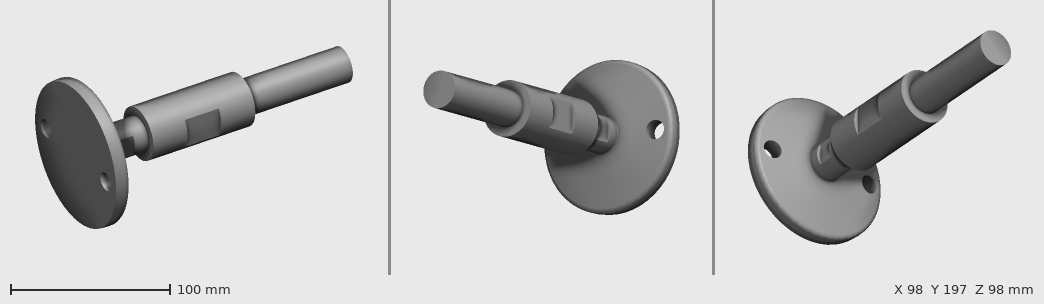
import cadquery as cq
import math

total_length = 197.0

plate_radius = 98.0 / 2
underside_radius = 48.5
taper_height = 4.1
cone_start_height = 9.7
shoulder_fillet = 3.0
cone_height = 15.5
neck_radius = 11.6
neck_fillet = 1.2
plate_height = 16.7

hole_diameter = 12.5
hole_offset = 35.7
drill_length = 4 * plate_height

bar_diameter = 24.0
bar_flat_width = 19.1
bar_flat_start = 23.8
bar_flat_length = 12.5

sleeve_diameter = 36.0
sleeve_start = 46.3
sleeve_length = 75.0
sleeve_flat_width = 30.0
sleeve_flat_length = 25.0
sleeve_flat_start = sleeve_start + (sleeve_length - sleeve_flat_length) / 2


def rod(diameter, start, length):
    """Round bar along +Y, beginning at Y = start."""
    return cq.Workplane("XZ", origin=(0, start, 0)).circle(diameter / 2).extrude(-length)


def cut_flats(body, diameter, width, start, length):
    """Cut a pair of wrench flats, facing -X and +X, leaving the given width."""
    core = cq.Workplane("XY").box(width, length, diameter)
    band = cq.Workplane("XY").box(diameter, length, diameter)
    return body.cut(band.cut(core).translate((0, start + length / 2, 0)))


def make_plate():
    """Turned plate with a rounded shoulder, a cone, a filleted neck and two tilted holes."""
    cone_angle = math.atan2(cone_height - cone_start_height, plate_radius - neck_radius)
    plate = (
        cq.Workplane("XY")
        .lineTo(underside_radius, 0)
        .lineTo(plate_radius, taper_height)
        .lineTo(plate_radius, cone_start_height)
        .lineTo(neck_radius, cone_height)
        .lineTo(neck_radius, plate_height)
        .lineTo(0, plate_height)
        .close()
        .revolve(360, (0, 0, 0), (0, 1, 0))
    )
    for height, radius in ((cone_start_height, shoulder_fillet), (cone_height, neck_fillet)):
        edge = cq.selectors.NearestToPointSelector((0, height, 0))
        plate = plate.edges("%CIRCLE").edges(edge).fillet(radius)
    for side in (-1, 1):
        axis = cq.Vector(side * math.sin(cone_angle), math.cos(cone_angle), 0)
        center = cq.Vector(side * hole_offset, 0, 0)
        start = center - axis * (drill_length / 2)
        drill = cq.Solid.makeCylinder(hole_diameter / 2, drill_length, start, axis)
        plate = plate.cut(cq.Workplane(drill))
    return plate


def make_leveling_foot():
    """Plate and bar in one piece, with wrench flats on the bar just above the plate."""
    bar = rod(bar_diameter, plate_height, total_length - plate_height)
    bar = cut_flats(bar, bar_diameter, bar_flat_width, bar_flat_start, bar_flat_length)
    return make_plate().union(bar)


def make_sleeve():
    """Tube fitted around the bar, with its own pair of wrench flats."""
    sleeve = rod(sleeve_diameter, sleeve_start, sleeve_length)
    sleeve = cut_flats(sleeve, sleeve_diameter, sleeve_flat_width, sleeve_flat_start, sleeve_flat_length)
    return sleeve.cut(rod(bar_diameter, sleeve_start, sleeve_length))


leveling_foot = make_leveling_foot()
sleeve = make_sleeve()

result = cq.Compound.makeCompound([leveling_foot.val(), sleeve.val()])